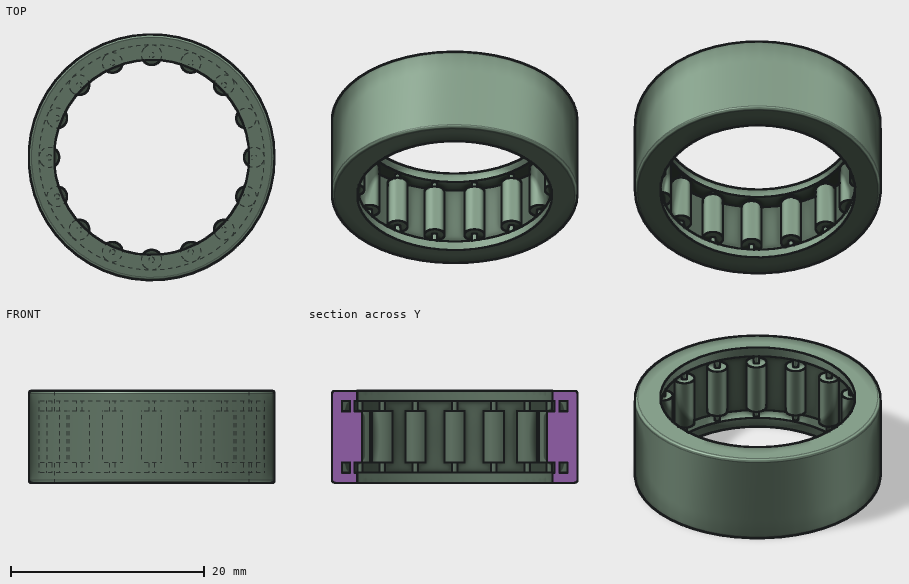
import cadquery as cq

outer_diameter = 25.4
width = 9.52
lip_bore_diameter = 20.12
lip_thickness = 1.07
edge_radius = 0.3

roller_count = 16
roller_diameter = 2.08
roller_length = 5.33
inscribed_diameter = 19.05
raceway_clearance = 0.03
pin_diameter = 0.55

roller_circle_radius = (inscribed_diameter + roller_diameter) / 2
raceway_radius = roller_circle_radius + roller_diameter / 2 + raceway_clearance
cavity_width = width - 2 * lip_thickness
pin_embed = lip_thickness / 2
pin_length = cavity_width + 2 * pin_embed


def centred_cylinder(diameter, length):
    return cq.Workplane("XY").cylinder(length, diameter / 2)


def make_cup():
    """Ring with rounded outer edges and a raceway between two inward lips."""
    ring = centred_cylinder(outer_diameter, width).edges("%CIRCLE").fillet(edge_radius)
    bore = centred_cylinder(lip_bore_diameter, width)
    raceway = centred_cylinder(2 * raceway_radius, cavity_width)
    return ring.cut(bore).cut(raceway)


def make_roller():
    """Roller at the +X position, on a thin pin that reaches into both lips."""
    roller = centred_cylinder(roller_diameter, roller_length)
    pin = centred_cylinder(pin_diameter, pin_length)
    return roller.union(pin).translate((roller_circle_radius, 0, 0))


result = make_cup()
roller = make_roller()
for index in range(roller_count):
    angle = index * 360 / roller_count
    result = result.union(roller.rotate((0, 0, 0), (0, 0, 1), angle))